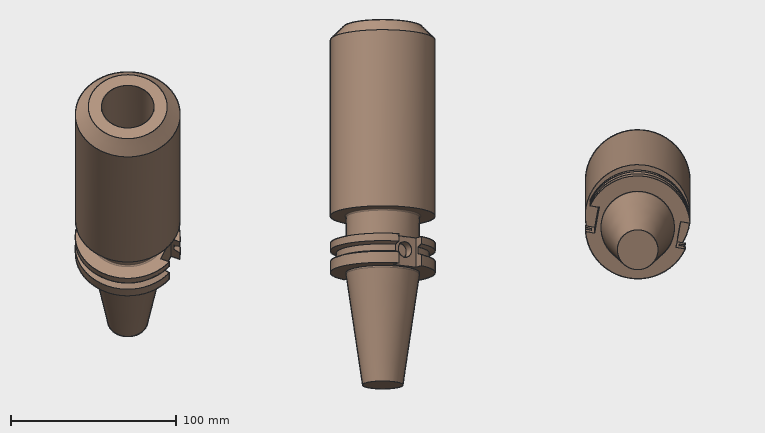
import cadquery as cq


gauge_radius = 44.45 / 2
shank_length = 68.25
taper_ratio = 7 / 24
shank_end_radius = gauge_radius - shank_length * taper_ratio / 2

flange_radius = 63.5 / 2
flange_bottom = 1.0
flange_top = 19.05
groove_center = 11.1
groove_floor_radius = 56.36 / 2
groove_floor_width = 4.0
groove_mouth_width = 6.6
groove_floor_half = groove_floor_width / 2
groove_mouth_half = groove_mouth_width / 2

neck_radius = gauge_radius
neck_fillet = 0.8
body_radius = flange_radius
body_bottom = 35.9
body_top = 152.4
body_chamfer = 7.9

bore_diameter = 31.75
bore_depth = 80.0

slot_width = 16.1
slot_floor_distance = 25.0

slot_hole_diameter = 9.5
slot_hole_depth = 6.0
slot_hole_height = groove_center


def turned_body():
    """Solid of revolution of the outer outline, from the shank end up to the body top."""
    outline = [
        (0, -shank_length),
        (shank_end_radius, -shank_length),
        (gauge_radius, 0),
        (gauge_radius, flange_bottom),
        (flange_radius, flange_bottom),
        (flange_radius, groove_center - groove_mouth_half),
        (groove_floor_radius, groove_center - groove_floor_half),
        (groove_floor_radius, groove_center + groove_floor_half),
        (flange_radius, groove_center + groove_mouth_half),
        (flange_radius, flange_top),
        (neck_radius, flange_top),
        (neck_radius, body_bottom),
        (body_radius, body_bottom),
        (body_radius, body_top - body_chamfer),
        (body_radius - body_chamfer, body_top),
        (0, body_top),
    ]
    return cq.Workplane("XZ").polyline(outline).close().revolve(360, (0, 0), (0, 1))


def neck_corners():
    """Selector for the two inside corner circles at the ends of the neck."""
    reach = neck_radius + neck_fillet
    return cq.selectors.BoxSelector(
        (-reach, -reach, flange_top - neck_fillet),
        (reach, reach, body_bottom + neck_fillet),
        boundingbox=True,
    )


def tool_bore():
    """Blind bore opening at the body top."""
    return (
        cq.Workplane("XY")
        .workplane(offset=body_top - bore_depth)
        .circle(bore_diameter / 2)
        .extrude(bore_depth)
    )


def drive_slot(side):
    """Slot cutter on one side of the flange: side is -1 for -X, +1 for +X."""
    depth = flange_radius - slot_floor_distance
    center_x = side * (slot_floor_distance + depth / 2)
    return (
        cq.Workplane("XY")
        .workplane(offset=flange_bottom)
        .center(center_x, 0)
        .rect(depth, slot_width)
        .extrude(flange_top - flange_bottom)
    )


def slot_hole():
    """Radial blind hole going inward from the -X slot floor."""
    return (
        cq.Workplane("YZ", origin=(-slot_floor_distance, 0, slot_hole_height))
        .circle(slot_hole_diameter / 2)
        .extrude(slot_hole_depth)
    )


result = turned_body()
result = result.edges(neck_corners()).edges("%CIRCLE").fillet(neck_fillet)
result = result.cut(tool_bore())
for side in (-1, 1):
    result = result.cut(drive_slot(side))
result = result.cut(slot_hole())